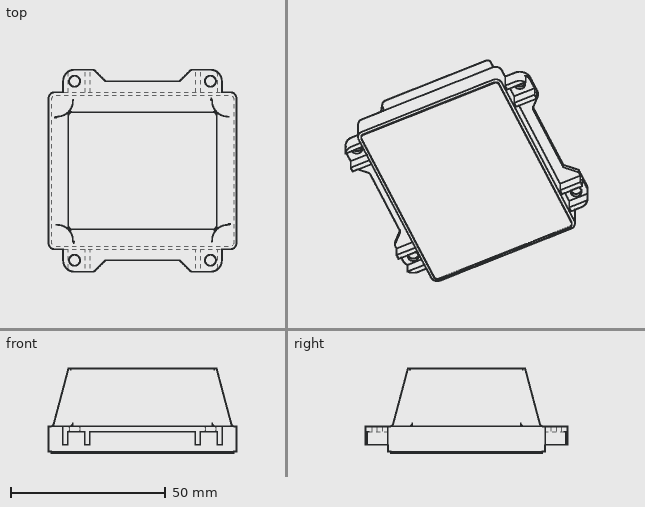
import cadquery as cq
import math

lip_height = 0.5
flange_bottom = 2.7
ceiling_height = 7.0
flange_top = 8.7
total_height = 27.5

base_length = 61.0
base_width = 51.0
base_corner_radius = 2.2
lip_inset = 1.0

hole_diameter = 3.5
hole_x = 22.0
hole_y = 29.0
ear_radius = 3.75
ear_inner_x = 15.75
ear_bend_radius = 1.0
flange_end_x = hole_x + ear_radius
flange_end_y = hole_y + ear_radius

rib_thickness = 1.6
rib_center_x = 17.9

dome_base_length = 58.0
dome_base_width = 48.0
dome_taper_run = 5.0
scoop_radius = 5.0
scoop_edge_radius = 1.0
dome_foot_radius = 1.0
dome_height = total_height - flange_top


def box_between(length, width, bottom, top):
    """Box centred on the Z axis, spanning two heights."""
    return cq.Workplane("XY").workplane(offset=bottom).rect(length, width).extrude(top - bottom)


def make_base():
    block = box_between(base_length, base_width, lip_height, flange_top)
    block = block.edges("|Z").fillet(base_corner_radius)
    lip = box_between(base_length - 2 * lip_inset, base_width - 2 * lip_inset, 0, lip_height)
    lip = lip.edges("|Z").fillet(base_corner_radius - lip_inset)
    return block.union(lip)


def make_setback(side):
    """Cutter for the 45 degree sided gap between the two ears of one side (+1 or -1 in Y)."""
    setback_inner_x = ear_inner_x - ear_radius
    return (
        cq.Workplane("XY")
        .workplane(offset=flange_bottom)
        .moveTo(-ear_inner_x, side * flange_end_y)
        .lineTo(-setback_inner_x, side * hole_y)
        .lineTo(setback_inner_x, side * hole_y)
        .lineTo(ear_inner_x, side * flange_end_y)
        .close()
        .extrude(flange_top - flange_bottom)
    )


def make_flange():
    """Flange running through the base in Y, with its ears and underside bays on both sides."""
    flange = box_between(2 * flange_end_x, 2 * flange_end_y, flange_bottom, flange_top)
    flange = flange.edges("|Z").fillet(ear_radius)
    for side in (-1, 1):
        flange = flange.cut(make_setback(side))
    between_ribs = cq.selectors.BoxSelector(
        (-rib_center_x, -2 * flange_end_y, flange_bottom),
        (rib_center_x, 2 * flange_end_y, flange_top),
    )
    flange = flange.edges("|Z").edges(between_ribs).fillet(ear_bend_radius)

    center_bay_end = rib_center_x - rib_thickness / 2
    ear_bay_start = rib_center_x + rib_thickness / 2
    ear_bay_end = flange_end_x - rib_thickness
    ear_bay_x = (ear_bay_start + ear_bay_end) / 2
    ear_bay_length = ear_bay_end - ear_bay_start
    center_bay = box_between(2 * center_bay_end, 2 * flange_end_y, flange_bottom, ceiling_height)
    ear_bay = box_between(ear_bay_length, 2 * flange_end_y, flange_bottom, ceiling_height)
    flange = flange.cut(center_bay)
    for side in (-1, 1):
        flange = flange.cut(ear_bay.translate((side * ear_bay_x, 0, 0)))
    return flange


def make_dome():
    taper_angle = math.degrees(math.atan(dome_taper_run / dome_height))
    dome = (
        cq.Workplane("XY")
        .workplane(offset=flange_top)
        .rect(dome_base_length, dome_base_width)
        .extrude(dome_height, taper=taper_angle)
    )

    center_offset = scoop_radius / math.sqrt(2)
    scoop_x = dome_base_length / 2 - dome_taper_run + center_offset
    scoop_y = dome_base_width / 2 - dome_taper_run + center_offset
    scoops = (
        cq.Workplane("XY")
        .workplane(offset=flange_top)
        .rect(2 * scoop_x, 2 * scoop_y, forConstruction=True)
        .vertices()
        .circle(scoop_radius)
        .extrude(dome_height)
    )
    dome = dome.cut(scoops)

    mid_height = cq.selectors.BoxSelector(
        (-dome_base_length, -dome_base_width, flange_top + dome_foot_radius),
        (dome_base_length, dome_base_width, total_height - dome_foot_radius),
    )
    return dome.edges(mid_height).fillet(scoop_edge_radius)


def fillet_dome_foot(body):
    """Round the inner corner where the dome stands on the flange."""
    margin = 0.1
    half_length = dome_base_length / 2 + margin
    half_width = dome_base_width / 2 + margin
    foot = cq.selectors.BoxSelector(
        (-half_length, -half_width, flange_top - margin),
        (half_length, half_width, flange_top + margin),
    )
    return body.edges(foot).fillet(dome_foot_radius)


def cut_mounting_holes(body):
    holes = (
        cq.Workplane("XY")
        .rect(2 * hole_x, 2 * hole_y, forConstruction=True)
        .vertices()
        .circle(hole_diameter / 2)
        .extrude(flange_top)
    )
    return body.cut(holes)


body = make_base().union(make_flange()).union(make_dome())
body = fillet_dome_foot(body)
result = cut_mounting_holes(body)